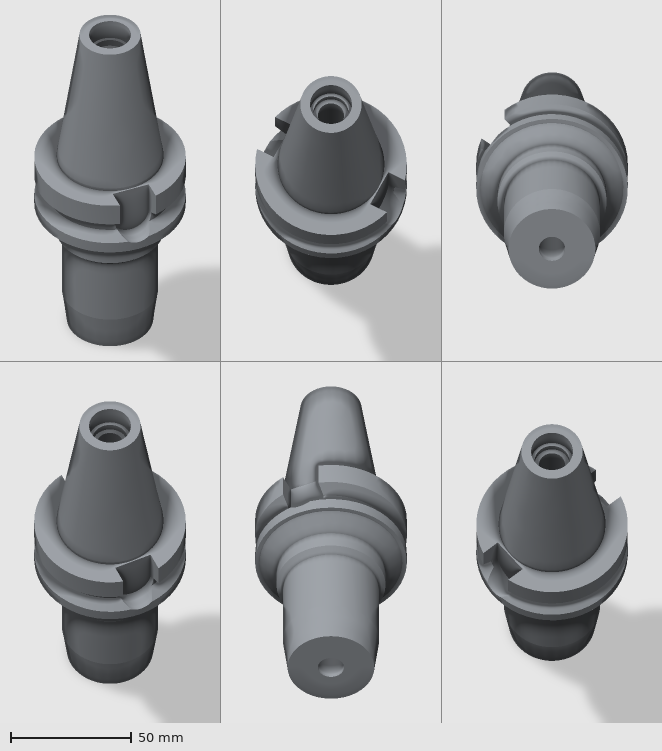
import cadquery as cq

total_height = 155.1
gauge_z = 90.0
flange_top_z = 88.5
groove_mid_z = 73.2
groove_floor_width = 4.3
groove_mouth_width = 10.2
flange_bottom_z = 63.0
collar_top_z = 56.9
collar_bottom_z = 49.5
shank_top_z = 46.8
nose_taper_z = 16.3

taper_small_radius = 12.7
taper_large_radius = 22.2
flange_radius = 31.5
groove_radius = 26.5
flange_cone_radius = 29.6
collar_radius = 22.6
shank_radius = 20.0
nose_radius = 18.0

mouth_radius = 8.7
mouth_depth = 9.2
step_radius = 7.3
step_depth = 3.1
through_radius = 5.5

slot_width = 16.1
slot_floor_x = 22.6
slot_bottom_z = 66.7


def make_body():
    """Revolve the taper, grooved flange, collar and shank about Z."""
    outline = [
        (0, 0),
        (nose_radius, 0),
        (shank_radius, nose_taper_z),
        (shank_radius, shank_top_z),
        (collar_radius, collar_bottom_z),
        (collar_radius, collar_top_z),
        (flange_cone_radius, flange_bottom_z),
        (flange_radius, flange_bottom_z),
        (flange_radius, groove_mid_z - groove_mouth_width / 2),
        (groove_radius, groove_mid_z - groove_floor_width / 2),
        (groove_radius, groove_mid_z + groove_floor_width / 2),
        (flange_radius, groove_mid_z + groove_mouth_width / 2),
        (flange_radius, flange_top_z),
        (taper_large_radius, flange_top_z),
        (taper_large_radius, gauge_z),
        (taper_small_radius, total_height),
        (0, total_height),
    ]
    return cq.Workplane("XZ").polyline(outline).close().revolve(360, (0, 0), (0, 1))


def make_bore():
    """Wide mouth at the top, a narrower step, then a hole through to the nose."""
    step_top_z = total_height - mouth_depth
    step_bottom_z = step_top_z - step_depth
    through = cq.Workplane("XY").circle(through_radius).extrude(total_height)
    step = cq.Workplane("XY", origin=(0, 0, step_bottom_z)).circle(step_radius).extrude(step_depth)
    mouth = cq.Workplane("XY", origin=(0, 0, step_top_z)).circle(mouth_radius).extrude(mouth_depth)
    return through.union(step).union(mouth)


def make_slot():
    """Round-bottomed drive slot on the +X side, open at the flange top."""
    half_width = slot_width / 2
    arc_center_z = slot_bottom_z + half_width
    return (
        cq.Workplane("YZ", origin=(slot_floor_x, 0, 0))
        .moveTo(-half_width, flange_top_z)
        .lineTo(-half_width, arc_center_z)
        .threePointArc((0, slot_bottom_z), (half_width, arc_center_z))
        .lineTo(half_width, flange_top_z)
        .close()
        .extrude(flange_radius)
    )


result = make_body().cut(make_bore())
for angle in (0, 180):
    result = result.cut(make_slot().rotate((0, 0, 0), (0, 0, 1), angle))